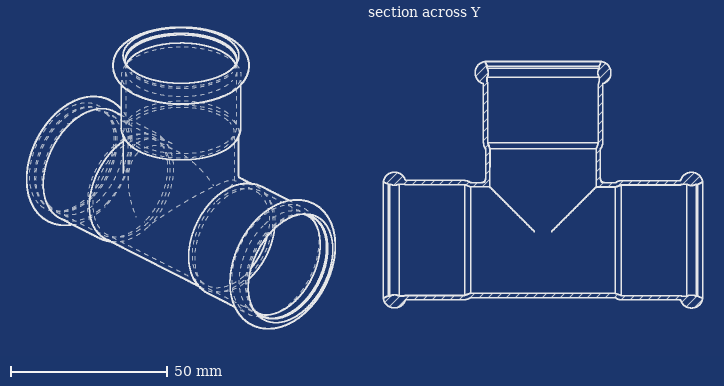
import cadquery as cq
import math

RUN_LENGTH = 102.5
HALF_RUN = RUN_LENGTH / 2
BRANCH_HEIGHT = 57.3
TUBE_OUTER_R = 37.0 / 2
TUBE_BORE_R = 34.0 / 2
JUNCTION_FILLET_R = 1.0

WALL = TUBE_OUTER_R - TUBE_BORE_R
SOCKET_OUTER_R = 38.4 / 2
SOCKET_BORE_R = SOCKET_OUTER_R - WALL
SOCKET_DEPTH = 26.1
SHOULDER_R = 3.0

BEAD_OUTER_R = 43.7 / 2
BEAD_ROLL_R = 3.7
BEAD_CENTRE_R = BEAD_OUTER_R - BEAD_ROLL_R

LIP_R = 35.8 / 2
LIP_CHAMFER_WIDTH = 0.7
LIP_CHAMFER_DEPTH = 1.6
MOUTH_R = LIP_R + LIP_CHAMFER_WIDTH
SEAL_INNER_R = 35.0 / 2
SEAL_ROLL_R = 2.9
SEAL_CENTRE_R = SEAL_INNER_R + SEAL_ROLL_R
LEAD_IN_DEPTH = 6.5
LEAD_IN_LENGTH = 0.8


def half_chord(radius, offset):
    """Half the chord cut from a circle by a line at the given offset from its centre."""
    return math.sqrt(radius**2 - offset**2)


SHOULDER_LENGTH = half_chord(SHOULDER_R, SHOULDER_R - (SOCKET_OUTER_R - TUBE_OUTER_R))
BEAD_DEPTH = half_chord(BEAD_ROLL_R, MOUTH_R - BEAD_CENTRE_R)
BEAD_REACH = half_chord(BEAD_ROLL_R, SOCKET_OUTER_R - BEAD_CENTRE_R)
SEAL_REACH = half_chord(SEAL_ROLL_R, SEAL_CENTRE_R - LIP_R)


def revolve_profile(profile):
    """Revolve a half profile, drawn as (radius, height), about the Z axis."""
    return profile.close().revolve(360, (0, 0, 0), (0, 1, 0))


def arm_body(length):
    """Solid tube from the tee centre, with its socket and rolled bead."""
    bead_height = length - BEAD_DEPTH
    socket_base = length - SOCKET_DEPTH
    profile = (
        cq.Workplane("XZ")
        .lineTo(TUBE_OUTER_R, 0)
        .lineTo(TUBE_OUTER_R, socket_base - SHOULDER_LENGTH)
        .radiusArc((SOCKET_OUTER_R, socket_base), -SHOULDER_R)
        .lineTo(SOCKET_OUTER_R, bead_height - BEAD_REACH)
        .threePointArc((BEAD_OUTER_R, bead_height), (MOUTH_R, length))
        .lineTo(0, length)
    )
    return revolve_profile(profile)


def arm_bore(length):
    """Cavity of one arm: tube bore, socket bore, seal ring bulge and chamfered mouth."""
    seal_height = length - BEAD_DEPTH
    lead_in_height = length - LEAD_IN_DEPTH
    socket_base = length - SOCKET_DEPTH
    profile = (
        cq.Workplane("XZ")
        .lineTo(TUBE_BORE_R, 0)
        .lineTo(TUBE_BORE_R, socket_base - SHOULDER_LENGTH)
        .lineTo(SOCKET_BORE_R, socket_base)
        .lineTo(SOCKET_BORE_R, lead_in_height - LEAD_IN_LENGTH)
        .lineTo(LIP_R, lead_in_height)
        .lineTo(LIP_R, seal_height - SEAL_REACH)
        .threePointArc((SEAL_INNER_R, seal_height), (LIP_R, seal_height + SEAL_REACH))
        .lineTo(LIP_R, length - LIP_CHAMFER_DEPTH)
        .lineTo(MOUTH_R, length)
        .lineTo(0, length)
    )
    return revolve_profile(profile)


def place_on_run(arm, side):
    """Turn an upright arm to point along X; side is +1 or -1."""
    return arm.rotate((0, 0, 0), (0, 1, 0), side * 90)


def all_arms(make_arm):
    """Unite the two run arms and the branch arm made by the given function."""
    run_arm = make_arm(HALF_RUN)
    run = place_on_run(run_arm, 1).union(place_on_run(run_arm, -1))
    return run.union(make_arm(BRANCH_HEIGHT)).clean()


def fillet_junction(body):
    """Round the elliptical seams where the branch tube meets the run tube."""
    return body.edges("%ELLIPSE").fillet(JUNCTION_FILLET_R)


result = fillet_junction(all_arms(arm_body)).cut(all_arms(arm_bore))